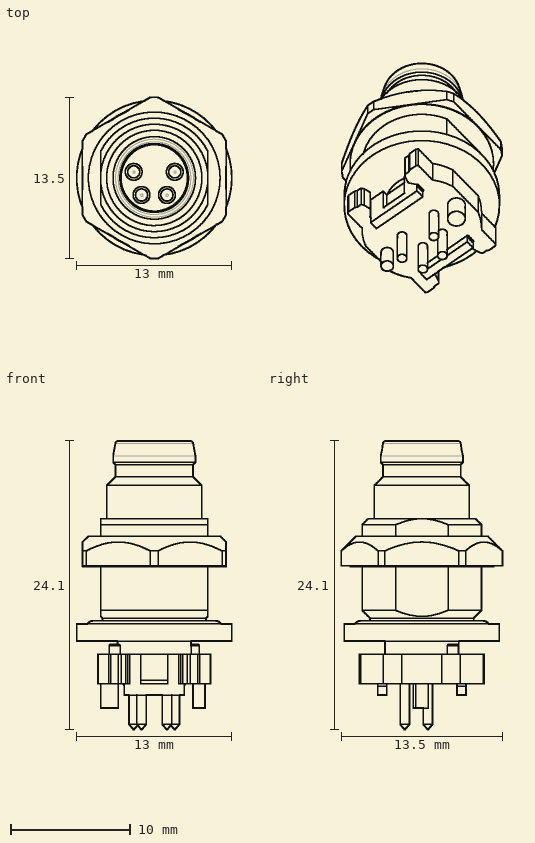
import cadquery as cq
import math

total_height = 24.15
peg_bottom_z = 1.8
pad_bottom_z = 2.9
base_bottom_z = 3.85
base_top_z = 6.33
flange_bottom_z = 7.41
flange_top_z = 8.86
shank_bottom_z = 9.35
nut_bottom_z = 13.65
nut_top_z = 16.2
shank_top_z = 17.65
barrel_top_z = 21.15

stem_radius = 3.1
flange_radius = 13.0 / 2
neck_radius = 4.35
shank_radius = 5.0
shank_flat = 4.5
shank_top_chamfer = 0.5
barrel_radius = 3.98
collar_groove_radius = 3.25
collar_radius = 3.45
collar_groove_top_z = 22.17
collar_rim_bottom_z = 22.36
collar_rim_top_z = 22.9
mouth_radius = 3.25
mouth_lip_radius = 3.05
mouth_lip_height = 0.2

bore_radius = 2.87
bore_floor_radius = 2.78
bore_floor_z = 18.84
bore_ledge_height = 0.25

seal_groove_radius = 6.04
seal_groove_floor_z = 8.02
seal_ring_radius = 5.1
seal_tube_radius = 0.6
seal_top_z = 9.13

nut_flat = 12.0 / 2
nut_corner_radius = 13.5 / 2
nut_top_radius = 5.5
nut_face_height = 0.07

pin_points = [(-1.71, 0.5), (1.71, 0.5), (-1.06, -1.42), (1.06, -1.42)]
contact_radius = 0.5
contact_top_z = 23.76
contact_dome = 0.4
contact_recess_radius = 0.7
contact_recess_depth = 0.2
tail_radius = 0.8 / 2
tail_point_height = 0.45

base_radius = 5.0
base_flat_x = 4.7
leg_side_x = 3.82
leg_tip_y = 5.22
leg_tip_outer_x = 3.65
leg_tip_inner_x = 3.0
leg_shoulder_y = 5.12
leg_shoulder_outer_x = 2.78
leg_shoulder_inner_x = 2.37
leg_bevel_x = 2.22
leg_bevel_y = 4.9
leg_hook_x = 2.05
leg_hook_y = 4.3
front_face_y = 3.7
pad_inner_y = 2.92
pad_half_width = 2.5
pad_flare_width = 0.07
pad_flare_height = 0.2
window_half_width = 1.14
window_depth = 0.45
window_slope_height = 0.31

lower_peg_x = 3.75
lower_peg_diameters = {-1: 1.47, 1: 1.05}
upper_peg_x = 3.3
upper_peg_y = 2.58
upper_peg_radius = 0.45
upper_peg_top_z = 7.15
upper_peg_chamfer = 0.1


def cylinder(radius, bottom_z, top_z, x=0, y=0):
    return cq.Workplane("XY", origin=(x, y, bottom_z)).circle(radius).extrude(top_z - bottom_z)


def turned(points):
    """Solid of revolution about Z from (radius, z) points."""
    return cq.Workplane("XZ").polyline(points).close().revolve(360, (0, 0), (0, 1))


def make_shank():
    """Thread shank with conical ends and two flats facing -X and +X."""
    bottom_chamfer = shank_radius - neck_radius
    shank = turned([
        (0, shank_bottom_z),
        (neck_radius, shank_bottom_z),
        (shank_radius, shank_bottom_z + bottom_chamfer),
        (shank_radius, shank_top_z - shank_top_chamfer),
        (shank_radius - shank_top_chamfer, shank_top_z),
        (0, shank_top_z),
    ])
    flats = cq.Workplane("XY").box(2 * shank_flat, 2 * shank_radius, 2 * total_height)
    return shank.intersect(flats)


def make_barrel():
    """Barrel above the shank, with its snap collar and open socket bore."""
    cone_height = barrel_radius - collar_groove_radius
    barrel = (
        cq.Workplane("XZ")
        .moveTo(0, shank_top_z)
        .lineTo(barrel_radius, shank_top_z)
        .lineTo(barrel_radius, barrel_top_z - cone_height)
        .lineTo(collar_groove_radius, barrel_top_z)
        .lineTo(collar_groove_radius, collar_groove_top_z)
        .lineTo(collar_radius, collar_rim_bottom_z)
        .lineTo(collar_radius, collar_rim_top_z)
        .lineTo(mouth_radius, total_height - mouth_lip_height)
        .tangentArcPoint((mouth_lip_radius, total_height), relative=False)
        .lineTo(0, total_height)
        .close()
        .revolve(360, (0, 0), (0, 1))
    )
    ledge_z = bore_floor_z + bore_ledge_height
    barrel = barrel.cut(cylinder(bore_floor_radius, bore_floor_z, ledge_z))
    return barrel.cut(cylinder(bore_radius, ledge_z, total_height))


def make_flange():
    """Flange with stem below, neck above and a seal ring lying in its groove."""
    flange = cylinder(flange_radius, flange_bottom_z, flange_top_z)
    flange = flange.cut(cylinder(seal_groove_radius, seal_groove_floor_z, flange_top_z))
    flange = flange.union(cylinder(neck_radius, flange_bottom_z, shank_bottom_z))
    flange = flange.union(cylinder(stem_radius, base_top_z, flange_bottom_z))
    seal = (
        cq.Workplane("XZ")
        .center(seal_ring_radius, seal_top_z - seal_tube_radius)
        .circle(seal_tube_radius)
        .revolve(360, (-seal_ring_radius, 0), (-seal_ring_radius, 1))
    )
    return flange.union(seal)


def make_nut():
    """Hexagon nut with corners on the Y axis, a 45 degree top cone and a round bearing face."""
    hexagon = (
        cq.Workplane("XY", origin=(0, 0, nut_bottom_z))
        .polygon(6, 2 * nut_flat / math.cos(math.pi / 6))
        .extrude(nut_top_z - nut_bottom_z)
        .rotate((0, 0, 0), (0, 0, 1), 30)
    )
    blank = turned([
        (0, nut_bottom_z),
        (nut_flat, nut_bottom_z),
        (nut_flat, nut_bottom_z + nut_face_height),
        (nut_corner_radius, nut_bottom_z + nut_face_height),
        (nut_corner_radius, nut_top_z - (nut_corner_radius - nut_top_radius)),
        (nut_top_radius, nut_top_z),
        (0, nut_top_z),
    ])
    return hexagon.intersect(blank)


def add_contacts(body):
    """Domed contacts in the socket, each in a shallow conical recess, with pointed solder tails."""
    for x, y in pin_points:
        recess = turned([
            (0, bore_floor_z - contact_recess_depth),
            (contact_radius, bore_floor_z - contact_recess_depth),
            (contact_recess_radius, bore_floor_z),
            (0, bore_floor_z),
        ])
        contact = cylinder(contact_radius, bore_floor_z - contact_recess_depth, contact_top_z, x, y)
        tail = turned([
            (0, 0),
            (tail_radius, tail_point_height),
            (tail_radius, base_top_z),
            (0, base_top_z),
        ])
        body = body.cut(recess.translate((x, y, 0)))
        body = body.union(contact.faces(">Z").edges().fillet(contact_dome))
        body = body.union(tail.translate((x, y, 0)))
    return body


def leg_outline(x_side, y_side):
    """Corner points of one leg, from the round side of the base to its front face."""
    points = [
        (leg_side_x, leg_shoulder_y),
        (leg_tip_outer_x, leg_tip_y),
        (leg_tip_inner_x, leg_tip_y),
        (leg_shoulder_outer_x, leg_shoulder_y),
        (leg_shoulder_inner_x, leg_shoulder_y),
        (leg_bevel_x, leg_bevel_y),
        (leg_hook_x, leg_hook_y),
        (pad_half_width, front_face_y),
    ]
    return [(x_side * x, y_side * y) for x, y in points]


def make_base():
    """Base block: round sides with flats, four corner legs, and a pad and a window at front and back."""
    def on_circle(x):
        return math.sqrt(base_radius**2 - x**2)

    def arc_middle(x_side, y_side):
        angle = (math.acos(base_flat_x / base_radius) + math.acos(leg_side_x / base_radius)) / 2
        return x_side * base_radius * math.cos(angle), y_side * base_radius * math.sin(angle)

    flat_y = on_circle(base_flat_x)
    leg_root_y = on_circle(leg_side_x)
    outline = cq.Workplane("XY", origin=(0, 0, base_bottom_z)).moveTo(-base_flat_x, -flat_y)
    for side in (-1, 1):
        outline = outline.threePointArc(arc_middle(side, side), (side * leg_side_x, side * leg_root_y))
        for point in leg_outline(side, side) + leg_outline(-side, side)[::-1]:
            outline = outline.lineTo(*point)
        outline = outline.lineTo(-side * leg_side_x, side * leg_root_y)
        outline = outline.threePointArc(arc_middle(-side, side), (-side * base_flat_x, side * flat_y))
        if side < 0:
            outline = outline.lineTo(base_flat_x, flat_y)
    base = outline.close().extrude(base_top_z - base_bottom_z)

    flared_half_width = pad_half_width + pad_flare_width
    pad = (
        cq.Workplane("XZ", origin=(0, -pad_inner_y, 0))
        .moveTo(-pad_half_width, pad_bottom_z)
        .lineTo(pad_half_width, pad_bottom_z)
        .lineTo(pad_half_width, base_bottom_z - pad_flare_height)
        .lineTo(flared_half_width, base_bottom_z)
        .lineTo(-flared_half_width, base_bottom_z)
        .lineTo(-pad_half_width, base_bottom_z - pad_flare_height)
        .close()
        .extrude(front_face_y - pad_inner_y)
    )
    window = (
        cq.Workplane("YZ", origin=(-window_half_width, 0, 0))
        .moveTo(-front_face_y, base_bottom_z)
        .lineTo(-front_face_y + window_depth, base_bottom_z + window_slope_height)
        .lineTo(-front_face_y + window_depth, base_top_z)
        .lineTo(-front_face_y, base_top_z)
        .close()
        .extrude(2 * window_half_width)
    )
    base = base.union(pad).union(pad.mirror("XZ"))
    return base.cut(window).cut(window.mirror("XZ"))


def add_pegs(body):
    """One thick and one thin peg below the base, two small chamfered pegs on top of it."""
    for side, diameter in lower_peg_diameters.items():
        body = body.union(cylinder(diameter / 2, peg_bottom_z, base_bottom_z, side * lower_peg_x, 0))
        peg = cylinder(upper_peg_radius, base_top_z, upper_peg_top_z, side * upper_peg_x, side * upper_peg_y)
        body = body.union(peg.faces(">Z").chamfer(upper_peg_chamfer))
    return body


body = make_base().union(make_flange()).union(make_shank()).union(make_nut()).union(make_barrel())
result = add_pegs(add_contacts(body))